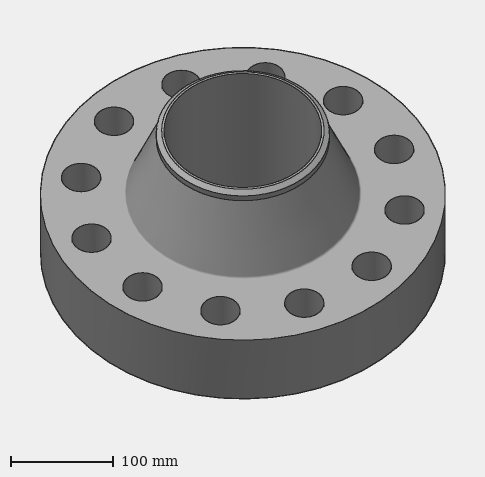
import cadquery as cq
import math

FLANGE_DIAMETER = 393.5
FLANGE_THICKNESS = 82.5
TOTAL_HEIGHT = 178.0

FACE_DIAMETER = 215.5
FACE_HEIGHT = 6.3

HUB_BASE_DIAMETER = 228.5
HUB_FILLET_RADIUS = 3.0
NECK_DIAMETER = 168.5
NECK_LENGTH = 10.5
BORE_DIAMETER = 153.0

BEVEL_LAND = 2.5
BEVEL_HEIGHT = 4.0

BOLT_COUNT = 12
BOLT_CIRCLE_DIAMETER = 317.2
BOLT_HOLE_DIAMETER = 38.0

flange_radius = FLANGE_DIAMETER / 2
face_radius = FACE_DIAMETER / 2
hub_base_radius = HUB_BASE_DIAMETER / 2
neck_radius = NECK_DIAMETER / 2
bore_radius = BORE_DIAMETER / 2
flange_top = FACE_HEIGHT + FLANGE_THICKNESS
neck_bottom = TOTAL_HEIGHT - NECK_LENGTH
bevel_bottom = TOTAL_HEIGHT - BEVEL_HEIGHT


def hub_fillet_points():
    """Start, middle and end (radius, z) of the arc between flange top and hub cone."""
    cone_angle = math.atan2(hub_base_radius - neck_radius, neck_bottom - flange_top)
    turn = math.pi / 2 - cone_angle
    tangent_length = HUB_FILLET_RADIUS * math.tan(turn / 2)
    center_radius = hub_base_radius + tangent_length
    center_z = flange_top + HUB_FILLET_RADIUS

    def arc_point(swept):
        return (
            center_radius - HUB_FILLET_RADIUS * math.sin(swept),
            center_z - HUB_FILLET_RADIUS * math.cos(swept),
        )

    return arc_point(0), arc_point(turn / 2), arc_point(turn)


def make_body():
    """Revolve the half section of raised face, flange, hub, neck and bore."""
    fillet_start, fillet_middle, fillet_end = hub_fillet_points()
    section = (
        cq.Workplane("XZ")
        .moveTo(bore_radius, 0)
        .lineTo(face_radius, 0)
        .lineTo(face_radius, FACE_HEIGHT)
        .lineTo(flange_radius, FACE_HEIGHT)
        .lineTo(flange_radius, flange_top)
        .lineTo(*fillet_start)
        .threePointArc(fillet_middle, fillet_end)
        .lineTo(neck_radius, neck_bottom)
        .lineTo(neck_radius, bevel_bottom)
        .lineTo(bore_radius + BEVEL_LAND, TOTAL_HEIGHT)
        .lineTo(bore_radius, TOTAL_HEIGHT)
        .close()
    )
    return section.revolve(360, (0, 0, 0), (0, 1, 0))


def make_bolt_holes():
    """Cutters for the ring of bolt holes, with one hole on the +X axis."""
    return (
        cq.Workplane("XY")
        .polarArray(BOLT_CIRCLE_DIAMETER / 2, 0, 360, BOLT_COUNT)
        .circle(BOLT_HOLE_DIAMETER / 2)
        .extrude(flange_top)
    )


result = make_body().cut(make_bolt_holes())